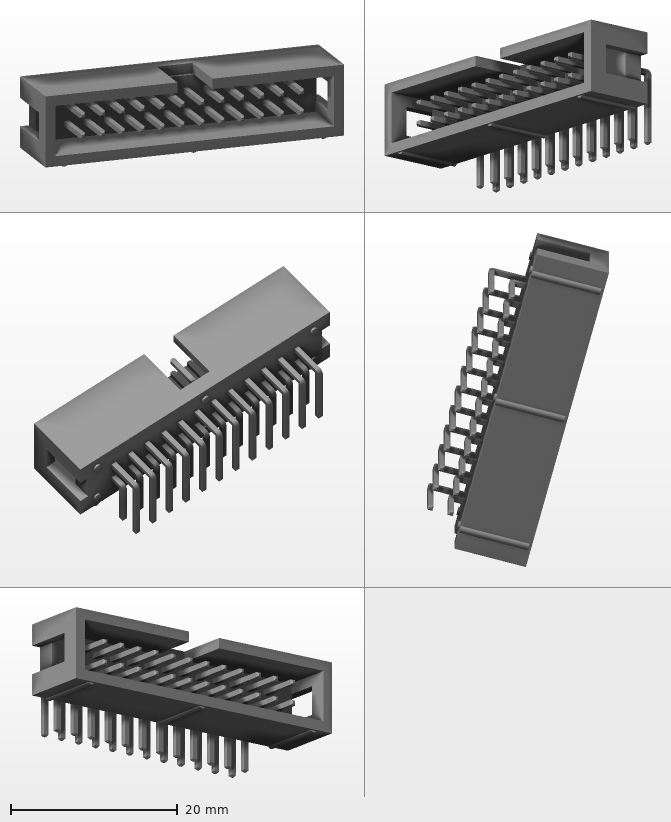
import cadquery as cq


housing_depth = 8.9
housing_length = 38.15
housing_height = 8.9
mid_height = housing_height / 2

wall = 1.3
cavity_floor_x = 2.45

key_width = 4.5
key_rear_x = 1.95

window_height = 3.6
window_front_x = 6.55
window_recess = 1.2

bump_diameter = 1.0
bump_height = 0.248
bump_spacing = 16.55
bump_edge_distance = 1.55
foot_length = 8.55

columns = 12
row_length = 27.95
pitch = row_length / (columns - 1)
pin_width = 0.65
bend_radius = pin_width
pin_front_gap = 0.8
pin_front_x = housing_depth - pin_front_gap
overall_height = 12.1
pin_bottom_z = housing_height - overall_height
tip_length = 0.23
tip_inset = 0.2
lower_leg_x = -1.8


def box(x_range, y_range, z_range):
    """Box spanning the given (low, high) ranges."""
    sizes = [high - low for low, high in (x_range, y_range, z_range)]
    corner = (x_range[0], y_range[0], z_range[0])
    return cq.Workplane("XY").box(*sizes, centered=False).translate(corner)


def make_housing():
    half_length = housing_length / 2
    half_key = key_width / 2
    window_z = (mid_height - window_height / 2, mid_height + window_height / 2)

    body = box((0, housing_depth), (-half_length, half_length), (0, housing_height))
    cavity = box(
        (cavity_floor_x, housing_depth),
        (wall - half_length, half_length - wall),
        (wall, housing_height - wall),
    )
    key_slot = box(
        (key_rear_x, housing_depth),
        (-half_key, half_key),
        (housing_height - wall, housing_height),
    )
    body = body.cut(cavity).cut(key_slot)

    recess = box((0, cavity_floor_x), (-half_length, window_recess - half_length), window_z)
    opening = box((cavity_floor_x, window_front_x), (-half_length, wall - half_length), window_z)
    window = recess.union(opening)
    return body.cut(window).cut(window.mirror("XZ"))


def x_cylinder(x_start, length, y, z):
    """Bump-sized cylinder along +X."""
    return (
        cq.Workplane("YZ", origin=(x_start, y, z))
        .circle(bump_diameter / 2)
        .extrude(length)
    )


def add_bumps(body):
    foot_z = bump_diameter / 2 - bump_height
    for y in (-bump_spacing, 0, bump_spacing):
        for z in (bump_edge_distance, housing_height - bump_edge_distance):
            body = body.union(x_cylinder(-bump_height, bump_height, y, z))
        body = body.union(x_cylinder(0, foot_length, y, foot_z))
    return body


def make_tip():
    """Tapered pin end pointing along +Z from the origin."""
    end_width = pin_width - 2 * tip_inset
    return (
        cq.Workplane("XY")
        .rect(pin_width, pin_width)
        .workplane(offset=tip_length)
        .rect(end_width, end_width)
        .loft()
    )


def make_pin(leg_x, row_z):
    """Bent pin at Y = 0 with a tapered tip at each end and a rounded outer bend."""
    half = pin_width / 2
    shank_end_x = pin_front_x - tip_length
    leg_end_z = pin_bottom_z + tip_length
    outer_x = leg_x - half
    inner_x = leg_x + half
    top_z = row_z + half
    under_z = row_z - half
    pin = (
        cq.Workplane("XZ", origin=(0, half, 0))
        .moveTo(shank_end_x, top_z)
        .lineTo(inner_x, top_z)
        .radiusArc((outer_x, under_z), -bend_radius)
        .lineTo(outer_x, leg_end_z)
        .lineTo(inner_x, leg_end_z)
        .lineTo(inner_x, under_z)
        .lineTo(shank_end_x, under_z)
        .close()
        .extrude(pin_width)
    )
    front_tip = make_tip().rotate((0, 0, 0), (0, 1, 0), 90).translate((shank_end_x, 0, row_z))
    leg_tip = make_tip().rotate((0, 0, 0), (0, 1, 0), 180).translate((leg_x, 0, leg_end_z))
    return pin.union(front_tip).union(leg_tip)


def add_pins(body):
    for row in (0, 1):
        pin = make_pin(lower_leg_x - row * pitch, mid_height + (row - 0.5) * pitch)
        for column in range(columns):
            y = column * pitch - row_length / 2
            body = body.union(pin.translate((0, y, 0)))
    return body


result = add_pins(add_bumps(make_housing()))